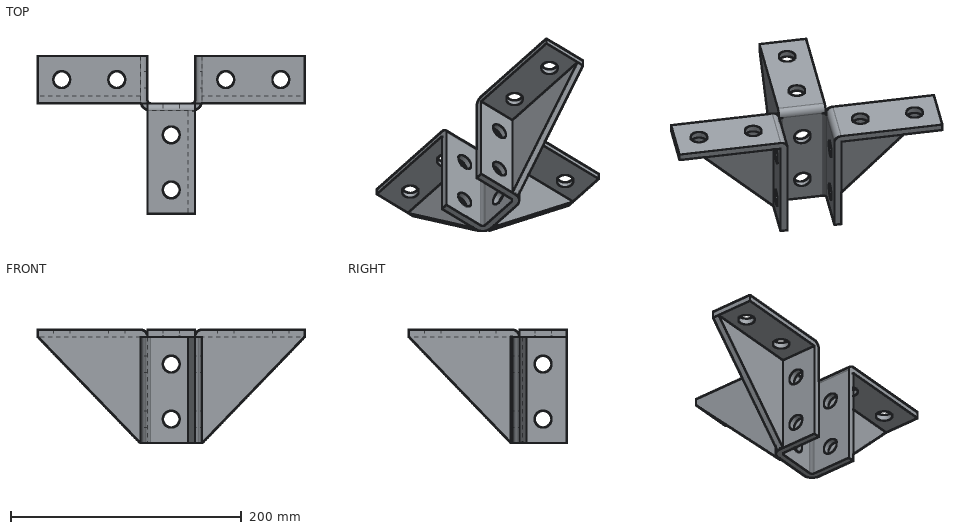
import cadquery as cq
import math

SPAN_X = 231.5
DEPTH_Y = 137.0
HEIGHT = 98.4
THICKNESS = 6.2
WING_WIDTH = 41.2
CHANNEL_BEND_RADIUS = 2.8
BEND_FACETS = 9
WING_BEND_RADIUS = 6.0
FRONT_GUSSET_GAP = 1.0
HOLE_DIAMETER = 14.3
HOLE_PITCH = 47.7
HOLES_PER_ROW = 2
HOLE_END_DISTANCE = 20.8
WALL_HOLE_DROP = 29.9

half_width = WING_WIDTH / 2
outer_half_width = half_width + THICKNESS
wing_tip_x = SPAN_X / 2
front_tip_y = WING_WIDTH - DEPTH_Y


def wing_plate(x_min, x_max, y_min, y_max):
    """Plate of one sheet thickness lying just below the wing top."""
    size = (x_max - x_min, y_max - y_min, THICKNESS)
    return cq.Workplane("XY").box(*size, centered=False).translate((x_min, y_min, -THICKNESS))


def u_prism(side_x, back_y, radius):
    """Upright prism, square at +Y, with faceted bends at its two back corners."""
    bend = []
    for step in range(BEND_FACETS + 1):
        angle = math.pi / 2 * step / BEND_FACETS
        x = side_x - radius * (1 - math.cos(angle))
        y = back_y + radius * (1 - math.sin(angle))
        bend.append((x, y))
    right_edge = [(side_x, WING_WIDTH)] + bend
    left_edge = [(-x, y) for x, y in reversed(right_edge)]
    base = cq.Workplane("XY").workplane(offset=-HEIGHT)
    return base.polyline(right_edge + left_edge).close().extrude(HEIGHT - THICKNESS)


def channel():
    """U-shaped upright, open toward +Y."""
    outer = u_prism(outer_half_width, -THICKNESS, CHANNEL_BEND_RADIUS + THICKNESS)
    inner = u_prism(half_width, 0, CHANNEL_BEND_RADIUS)
    return outer.cut(inner)


def side_wing():
    """Wing toward +X, rounded where it turns down into the channel side wall."""
    wing = wing_plate(half_width, wing_tip_x, 0, WING_WIDTH)
    return wing.edges("|Y and <X and >Z").fillet(WING_BEND_RADIUS)


def front_wing():
    """Wing toward -Y, rounded where it turns down into the back wall."""
    wing = wing_plate(-half_width, half_width, front_tip_y, 0)
    return wing.edges("|X and >Y and >Z").fillet(WING_BEND_RADIUS)


def gusset(plane, root, tip):
    """Triangular web below a wing, one thickness thick along +plane normal."""
    outline = [(root, -THICKNESS), (tip, -THICKNESS), (root, -HEIGHT)]
    return cq.Workplane(plane).polyline(outline).close().extrude(THICKNESS)


def hole(x, y, z, direction, length):
    """Cylinder that starts at the given point and cuts along the given direction."""
    start = cq.Vector(x, y, z)
    return cq.Workplane(cq.Solid.makeCylinder(HOLE_DIAMETER / 2, length, start, cq.Vector(*direction)))


side_gusset = gusset("XZ", outer_half_width, wing_tip_x).translate((0, THICKNESS, 0))
right_side = side_wing().union(side_gusset)

front_gusset_root = -THICKNESS - FRONT_GUSSET_GAP
front_gusset = gusset("YZ", front_gusset_root, front_tip_y).translate((half_width - THICKNESS, 0, 0))
front_side = front_wing().union(front_gusset)

bracket = channel().union(front_side).union(right_side).union(right_side.mirror("YZ"))

for index in range(HOLES_PER_ROW):
    offset = index * HOLE_PITCH
    side_x = wing_tip_x - HOLE_END_DISTANCE - offset
    front_y = front_tip_y + HOLE_END_DISTANCE + offset
    wall_z = -WALL_HOLE_DROP - offset
    for wing_x in (-side_x, side_x):
        bracket = bracket.cut(hole(wing_x, WING_WIDTH / 2, -THICKNESS, (0, 0, 1), THICKNESS))
    bracket = bracket.cut(hole(0, front_y, -THICKNESS, (0, 0, 1), THICKNESS))
    bracket = bracket.cut(hole(0, -THICKNESS, wall_z, (0, 1, 0), THICKNESS))
    bracket = bracket.cut(hole(-outer_half_width, WING_WIDTH / 2, wall_z, (1, 0, 0), 2 * outer_half_width))

result = bracket